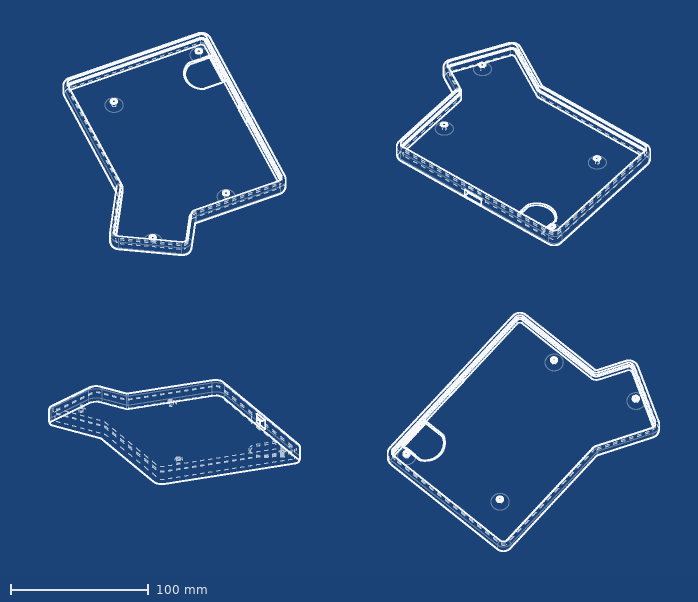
import cadquery as cq
import math

LENGTH = 173.8
DEPTH = 138.1
HEIGHT = 13.0

BODY_WIDTH = 150.5
BODY_BOTTOM = 22.5
ARM_WIDTH = 60.0
ARM_ANGLE = math.radians(30)
CORNER_RADIUS = 7.0
BEND_RADIUS = 1.2

FLOOR_TOP = 2.5
LEDGE_TOP = 8.9
RIM_WALL = 3.0
LOWER_WALL = 4.3
RIM_ROUNDING = 3.0
BASE_ROUNDING_HEIGHT = 3.0
BASE_ROUNDING_RADIUS = 7.0

POST_CENTERS = [(12.2, 126.9), (138.0, 93.8), (29.4, 52.1), (153.8, 29.0)]
FLARE_RADIUS = 6.6
POST_RADIUS = 2.5
FLARE_ROUNDING = FLARE_RADIUS - POST_RADIUS
POST_HOLE_DIAMETER = 3.0

RECESS_LEFT = 16.0
RECESS_WIDTH = 26.2
RECESS_UNDERCUT = 0.5
RECESS_BACK = DEPTH - LOWER_WALL + RECESS_UNDERCUT
RECESS_SIDE_END = 117.3
RECESS_FRONT = 109.0
RECESS_DEPTH = 1.0
RECESS_TAPER = 45

PORT_LEFT = 68.6
PORT_WIDTH = 15.5
PORT_BOTTOM = 1.7
PORT_HEIGHT = 6.8

CUT_MARGIN = 1.7


def arm_corners():
    """Sharp corners of the arm, from the lower bend round to the upper bend."""
    along = (math.cos(ARM_ANGLE), -math.sin(ARM_ANGLE))
    across = (math.sin(ARM_ANGLE), math.cos(ARM_ANGLE))
    slope = math.tan(ARM_ANGLE)

    lower_center_x = LENGTH - CORNER_RADIUS - (ARM_WIDTH - 2 * CORNER_RADIUS) * across[0]
    lower_tip_x = lower_center_x + CORNER_RADIUS * (along[0] - across[0])
    lower_tip_y = CORNER_RADIUS * (1 + along[1] - across[1])
    upper_tip_x = lower_tip_x + ARM_WIDTH * across[0]
    upper_tip_y = lower_tip_y + ARM_WIDTH * across[1]

    lower_bend_x = lower_tip_x - (BODY_BOTTOM - lower_tip_y) / slope
    upper_bend_y = upper_tip_y + (upper_tip_x - BODY_WIDTH) * slope
    return [
        (lower_bend_x, BODY_BOTTOM),
        (lower_tip_x, lower_tip_y),
        (upper_tip_x, upper_tip_y),
        (BODY_WIDTH, upper_bend_y),
    ]


def outline_prism():
    """Full-height block with the rounded outline."""
    lower_bend, lower_tip, upper_tip, upper_bend = arm_corners()
    left_bottom, left_top, right_top = (0, BODY_BOTTOM), (0, DEPTH), (BODY_WIDTH, DEPTH)
    corners = [left_bottom, lower_bend, lower_tip, upper_tip, upper_bend, right_top, left_top]
    bends = [lower_bend, upper_bend]

    block = cq.Workplane("XY").polyline(corners).close().extrude(HEIGHT)
    for corner in corners:
        radius = BEND_RADIUS if corner in bends else CORNER_RADIUS
        middle = (corner[0], corner[1], HEIGHT / 2)
        block = block.edges(cq.selectors.NearestToPointSelector(middle)).fillet(radius)
    return block


def cavity(outline, inset, bottom):
    """Space inside the outline, inset from it and open at the top."""
    return (
        cq.Workplane("XY")
        .add(outline)
        .toPending()
        .offset2D(-inset)
        .extrude(HEIGHT)
        .translate((0, 0, bottom))
    )


def base_rounding(outline):
    """Material outside the large-radius arc that draws in the lower edge."""
    rise = BASE_ROUNDING_HEIGHT
    radius = BASE_ROUNDING_RADIUS
    sweep_angle = math.asin(rise / radius)
    inset = radius * (1 - math.cos(sweep_angle))
    arc_middle = (
        radius * (1 - math.cos(sweep_angle / 2)),
        rise - radius * math.sin(sweep_angle / 2),
    )
    section_y = DEPTH / 2
    return (
        cq.Workplane("XZ", origin=(0, section_y, 0))
        .moveTo(0, rise)
        .threePointArc(arc_middle, (inset, 0))
        .lineTo(0, 0)
        .close()
        .sweep(cq.Workplane("XY").add(outline), transition="right")
    )


def post(center):
    """Screw post whose side flares out to meet the floor."""
    diagonal = FLARE_ROUNDING * (1 - math.sqrt(0.5))
    foot = -RECESS_DEPTH
    return (
        cq.Workplane("XZ")
        .moveTo(0, foot)
        .lineTo(FLARE_RADIUS, foot)
        .lineTo(FLARE_RADIUS, 0)
        .threePointArc((POST_RADIUS + diagonal, diagonal), (POST_RADIUS, FLARE_ROUNDING))
        .lineTo(0, FLARE_ROUNDING)
        .close()
        .revolve(360, (0, 0), (0, 1))
        .translate((center[0], center[1], FLOOR_TOP))
    )


def post_hole(center):
    """Blind screw hole reaching from the post top to floor level."""
    return (
        cq.Workplane("XY", origin=(center[0], center[1], FLOOR_TOP))
        .circle(POST_HOLE_DIAMETER / 2)
        .extrude(FLARE_ROUNDING + CUT_MARGIN)
    )


def recess():
    """Round-fronted recess below floor level."""
    right = RECESS_LEFT + RECESS_WIDTH
    return (
        cq.Workplane("XY", origin=(0, 0, FLOOR_TOP))
        .moveTo(RECESS_LEFT, RECESS_BACK)
        .lineTo(RECESS_LEFT, RECESS_SIDE_END)
        .threePointArc((RECESS_LEFT + RECESS_WIDTH / 2, RECESS_FRONT), (right, RECESS_SIDE_END))
        .lineTo(right, RECESS_BACK)
        .close()
        .extrude(-RECESS_DEPTH, taper=RECESS_TAPER)
    )


def recess_clearance(recess_body):
    """Upright space over the recess floor, which trims the flare beside it."""
    return recess_body.faces("<Z").wires().toPending().extrude(RECESS_DEPTH + FLARE_ROUNDING)


def port():
    """Rectangular opening through the back wall."""
    return cq.Workplane("XY").box(
        PORT_WIDTH, LOWER_WALL + CUT_MARGIN, PORT_HEIGHT, centered=False
    ).translate((PORT_LEFT, DEPTH - LOWER_WALL, PORT_BOTTOM))


block = outline_prism()
outline = block.faces("<Z").wires().val()
tray = block.faces(">Z").edges().fillet(RIM_ROUNDING)
tray = tray.cut(base_rounding(outline))
tray = tray.cut(cavity(outline, LOWER_WALL, FLOOR_TOP))
tray = tray.cut(cavity(outline, RIM_WALL, LEDGE_TOP))

recess_body = recess()
tray = tray.cut(recess_body).cut(port())
for center in POST_CENTERS:
    tray = tray.union(post(center)).cut(post_hole(center))
tray = tray.cut(recess_clearance(recess_body))

result = tray